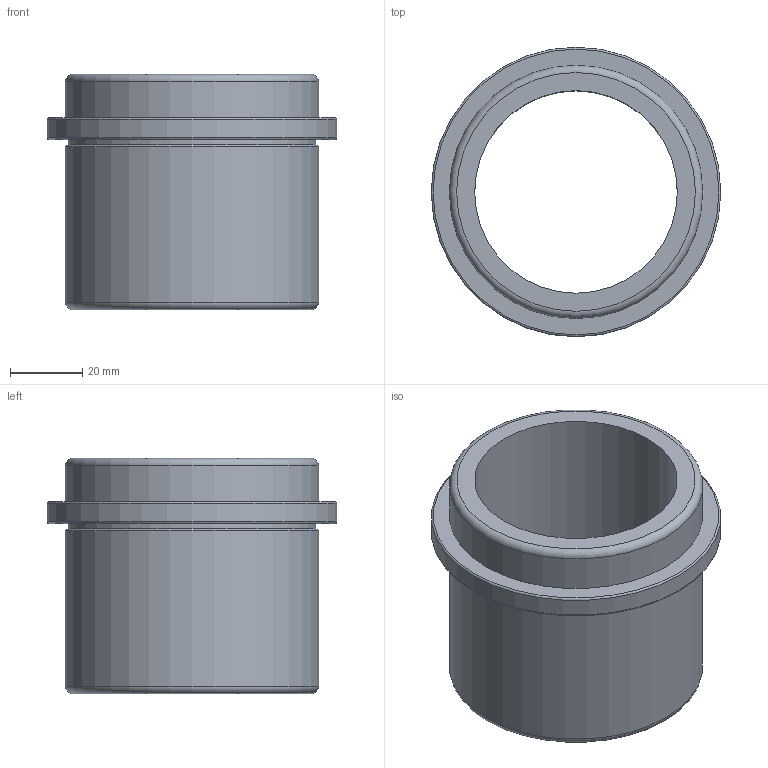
import cadquery as cq

total_height = 65.0
body_diameter = 70.0
bore_diameter = 56.0
end_round = 2.0

flange_diameter = 80.0
flange_thickness = 6.0
flange_edge_round = 0.5
spigot_height = 12.0

groove_width = 2.0
groove_depth = 0.8
groove_taper_height = 0.5

body_radius = body_diameter / 2
groove_radius = body_radius - groove_depth
flange_bottom = total_height - spigot_height - flange_thickness
groove_bottom = flange_bottom - groove_width


def make_sleeve():
    """Plain cylinder with rounded outer edges at both ends."""
    sleeve = cq.Workplane("XY").circle(body_radius).extrude(total_height)
    return sleeve.edges().fillet(end_round)


def make_flange():
    """Collar with slightly rounded rims."""
    flange = cq.Workplane("XY").workplane(offset=flange_bottom)
    flange = flange.circle(flange_diameter / 2).extrude(flange_thickness)
    return flange.edges().fillet(flange_edge_round)


def make_groove_cutter():
    """Ring removed below the flange: straight floor with a tapered lower end."""
    outer_radius = flange_diameter / 2
    profile = (
        cq.Workplane("XZ")
        .moveTo(outer_radius, groove_bottom)
        .lineTo(body_radius, groove_bottom)
        .lineTo(groove_radius, groove_bottom + groove_taper_height)
        .lineTo(groove_radius, flange_bottom)
        .lineTo(outer_radius, flange_bottom)
        .close()
    )
    return profile.revolve(360, (0, 0, 0), (0, 1, 0))


def make_bore():
    """Cylinder removed to leave the through bore."""
    return cq.Workplane("XY").circle(bore_diameter / 2).extrude(total_height)


result = make_sleeve().union(make_flange()).cut(make_groove_cutter()).cut(make_bore())